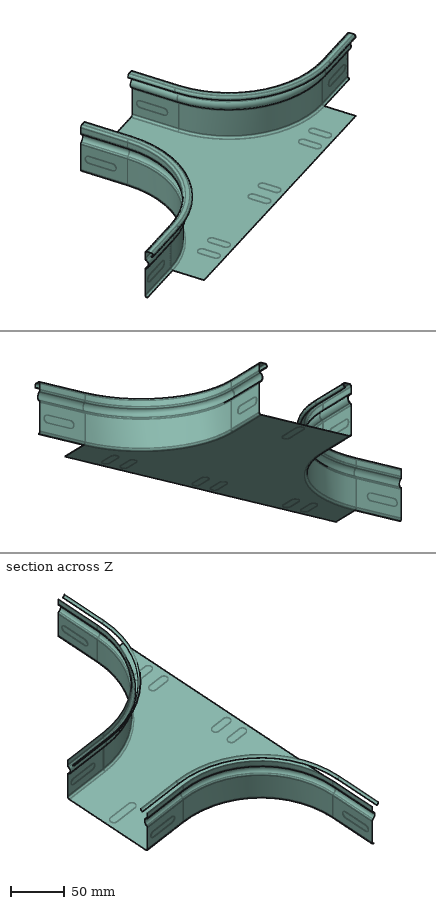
import cadquery as cq
import math


TOTAL_LENGTH = 401.0
BASE_WIDTH = 185.0
HEIGHT = 53.7
SHEET = 0.75

STEM_LENGTH = 49.7
ARM_LENGTH = 50.0
TURN_RADIUS = 99.0
TURN_Y = TOTAL_LENGTH / 2 - ARM_LENGTH
STEM_HALF_WIDTH = TURN_Y - TURN_RADIUS
ARM_X = STEM_LENGTH + TURN_RADIUS

BEND_RADIUS = 2.6
LIP_WIDTH = 9.2
BEAD_Z = 38.5
BEAD_HALF_HEIGHT = 6.5
BEAD_DEPTH = 3.5

SLOT_WIDTH = 8.0
LONG_SLOT = 33.0
SHORT_SLOT = 23.3
SLOT_EDGE_GAP = 5.0
WALL_SLOT_Z = 17.0
SLOT_PAIR_Y = (-100.2, 0.0, 100.2)
SLOT_PAIR_SPACING = 20.0

COINCIDENT = 4.01e-06


def point_on(center, radius, angle):
    a = math.radians(angle)
    return (center[0] + radius * math.cos(a), center[1] + radius * math.sin(a))


def wall_bends():
    """Bends from foot to lip: centre, outer-face radius, inner-face radius, start and end angle.

    The first coordinate runs from the wall's outer face towards the tray inside, the second is Z.
    """
    r = BEND_RADIUS
    inner = r - SHEET
    radius_sum = (BEAD_HALF_HEIGHT**2 + BEAD_DEPTH**2) / (2 * BEAD_DEPTH)
    slope = math.degrees(math.asin(BEAD_HALF_HEIGHT / radius_sum))
    bead_radius = radius_sum - r
    bead_center = (r + BEAD_DEPTH - radius_sum, BEAD_Z)
    return [
        ((r, r), r, inner, 270, 180),
        ((r, BEAD_Z - BEAD_HALF_HEIGHT), r, inner, 180, 180 - slope),
        (bead_center, bead_radius, bead_radius + SHEET, -slope, slope),
        ((r, BEAD_Z + BEAD_HALF_HEIGHT), r, inner, 180 + slope, 180),
        ((r, HEIGHT - r), r, inner, 180, 90),
        ((LIP_WIDTH - r, HEIGHT - r), r, inner, 90, -90),
    ]


def wall_profile(plane):
    """Closed wall section: up along the outer face, back down along the inner face."""
    bends = wall_bends()
    up = [(center, outer, start, end) for center, outer, _, start, end in bends]
    down = [(center, inner, end, start) for center, _, inner, start, end in reversed(bends)]
    center, radius, start, _ = up[0]
    section = cq.Workplane(plane).moveTo(*point_on(center, radius, start))
    previous = point_on(center, radius, start)
    for center, radius, start, end in up + down:
        first = point_on(center, radius, start)
        last = point_on(center, radius, end)
        if math.dist(previous, first) > COINCIDENT:
            section = section.lineTo(*first)
        section = section.threePointArc(point_on(center, radius, (start + end) / 2), last)
        previous = last
    return section.close()


def side_wall():
    """Wall on the -Y side: stem, turn and arm with the same section."""
    stem_start = cq.Plane((0, -STEM_HALF_WIDTH, 0), xDir=(0, 1, 0), normal=(1, 0, 0))
    turn_start = cq.Plane((STEM_LENGTH, -STEM_HALF_WIDTH, 0), xDir=(0, 1, 0), normal=(1, 0, 0))
    arm_start = cq.Plane((ARM_X, -TURN_Y, 0), xDir=(1, 0, 0), normal=(0, -1, 0))
    stem = wall_profile(stem_start).extrude(STEM_LENGTH)
    turn = wall_profile(turn_start).revolve(90, (-TURN_RADIUS, 0), (-TURN_RADIUS, -1))
    arm = wall_profile(arm_start).extrude(ARM_LENGTH)
    return stem.union(turn).union(arm).union(wall_slot_blanks(), clean=False)


def wall_slot_blanks():
    """Slot blanks, one sheet thick, near the free end of the stem and of the arm."""
    center_gap = SLOT_EDGE_GAP + LONG_SLOT / 2
    stem_blank = (
        cq.Workplane("XZ", origin=(center_gap, -STEM_HALF_WIDTH, WALL_SLOT_Z))
        .slot2D(LONG_SLOT, SLOT_WIDTH)
        .extrude(-SHEET)
    )
    arm_blank = (
        cq.Workplane("YZ", origin=(ARM_X, center_gap - TOTAL_LENGTH / 2, WALL_SLOT_Z))
        .slot2D(LONG_SLOT, SLOT_WIDTH)
        .extrude(SHEET)
    )
    return stem_blank.union(arm_blank)


def base_plate():
    """Flat base reaching to where the wall foot starts to bend up."""
    edge_radius = TURN_RADIUS + BEND_RADIUS
    edge_y = TURN_Y - edge_radius
    edge_x = STEM_LENGTH + edge_radius
    lower_mid = point_on((STEM_LENGTH, -TURN_Y), edge_radius, 45)
    upper_mid = point_on((STEM_LENGTH, TURN_Y), edge_radius, -45)
    plate = (
        cq.Workplane("XY")
        .moveTo(0, -edge_y)
        .lineTo(STEM_LENGTH, -edge_y)
        .threePointArc(lower_mid, (edge_x, -TURN_Y))
        .lineTo(BASE_WIDTH, -TURN_Y)
        .lineTo(BASE_WIDTH, TURN_Y)
        .lineTo(edge_x, TURN_Y)
        .threePointArc(upper_mid, (STEM_LENGTH, edge_y))
        .lineTo(0, edge_y)
        .close()
        .extrude(SHEET)
    )
    return plate.union(base_slot_blanks(), clean=False)


def base_slot_blanks():
    """Slot blanks in the base: one at the stem opening, three pairs along the straight edge."""
    stem_x = SLOT_EDGE_GAP + LONG_SLOT / 2
    pair_x = BASE_WIDTH - SLOT_EDGE_GAP - SHORT_SLOT / 2
    pair_points = [
        (pair_x, y + side * SLOT_PAIR_SPACING / 2) for y in SLOT_PAIR_Y for side in (-1, 1)
    ]
    floor = cq.Workplane("XY")
    stem_blank = floor.center(stem_x, 0).slot2D(LONG_SLOT, SLOT_WIDTH).extrude(SHEET)
    pair_blanks = floor.pushPoints(pair_points).slot2D(SHORT_SLOT, SLOT_WIDTH).extrude(SHEET)
    return stem_blank.union(pair_blanks)


wall = side_wall()
walls = wall.union(wall.mirror("XZ"), clean=False)
result = base_plate().union(walls, clean=False)